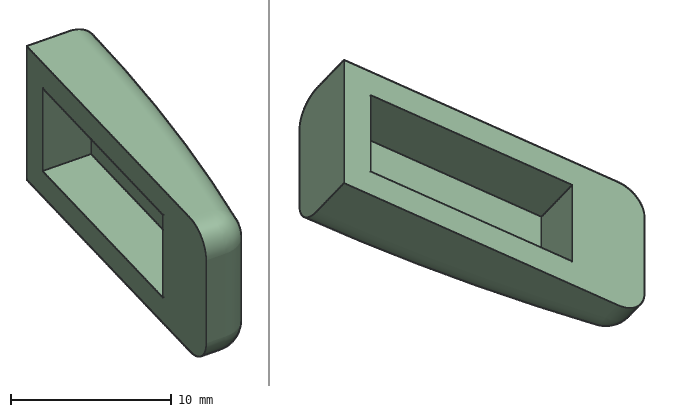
import cadquery as cq
import math

length = 22.42
depth = 5.1
height = 10.5

crown_radius = 124.88
edge_radius = 2.0

pocket_margin = 2.0
pocket_length = 15.02
pocket_height = height - 2 * pocket_margin
pocket_depth = 3.5


def crown_y(x):
    """Y of the crowned face at distance x from the flat end."""
    return depth - crown_radius + math.sqrt(crown_radius**2 - x**2)


def make_body():
    """Extruded side profile, rounded on the crown and at the free end."""
    blank = (
        cq.Workplane("XY")
        .lineTo(length, 0)
        .lineTo(length, crown_y(length))
        .threePointArc((length / 2, crown_y(length / 2)), (0, depth))
        .close()
        .extrude(height)
    )
    end_corners = blank.faces(">X").edges("|Y")
    crown_sides = blank.edges("%CIRCLE")
    crown_end = blank.faces(">X").edges(">Y")
    rounded_edges = end_corners.add(crown_sides).add(crown_end)
    return rounded_edges.fillet(edge_radius)


def make_pocket():
    """Blind pocket that opens on the flat face."""
    return cq.Workplane("XY").box(
        pocket_length, pocket_depth, pocket_height, centered=False
    ).translate((pocket_margin, 0, pocket_margin))


result = make_body().cut(make_pocket())